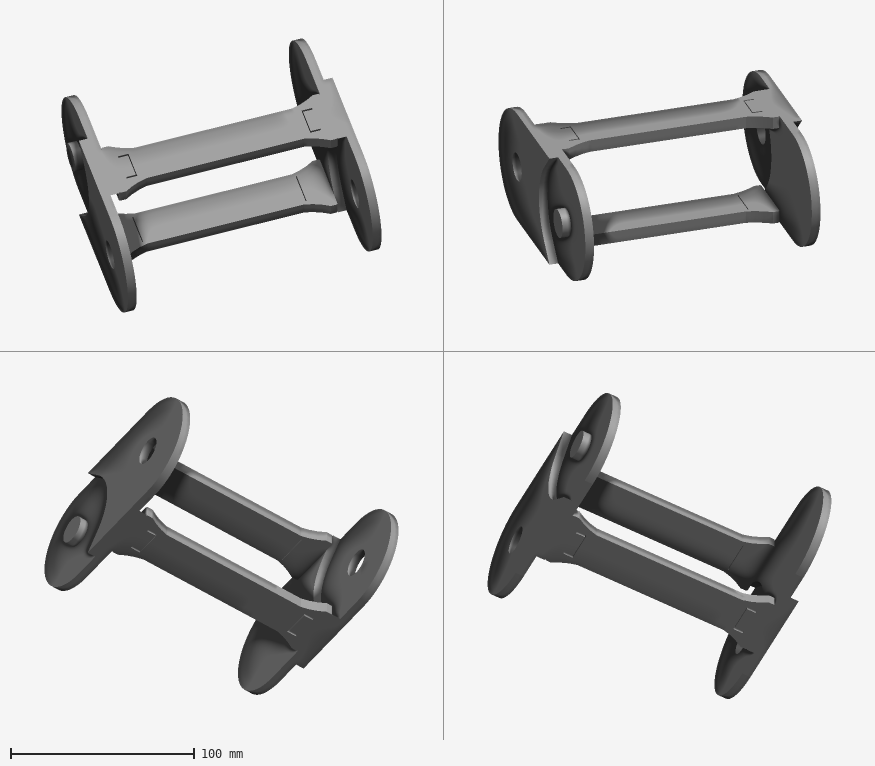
import cadquery as cq
import math


overall_width = 145.0
plate_height = 65.0
pitch = 70.88
layer_thickness = 5.0
pin_diameter = 16.0
hole_diameter = 16.0
swing_clearance = 0.5
flank_rise = 10.0

end_radius = plate_height / 2
notch_radius = end_radius + swing_clearance
outer_face_y = overall_width / 2
joint_y = outer_face_y - layer_thickness
inner_face_y = joint_y - layer_thickness

bar_center_x = 39.56
bar_thickness = 7.0
bar_width = 22.0
bar_end_width = 32.8
bar_corner_radius = 1.0
bar_end_straight = 4.0
bar_flare_end = 17.5
flare_radius = 40.0

tab_width = 18.0
tab_length = 15.5
tab_thickness = bar_thickness / 2
tab_end_gap = 0.5
window_width = 16.0
window_start = 7.0
window_length = 6.0
lug_side_gap = 1.0
lug_end_gap = 0.5

bar_outer_z = plate_height / 2
bar_inner_z = bar_outer_z - bar_thickness
tab_outer_z = bar_inner_z + tab_thickness


def notched_layer(y_start):
    """Plate layer with its round end around X = 0 and a concave end toward +X."""
    flank_z = end_radius - flank_rise
    flank_angle = math.asin(flank_z / notch_radius)
    flank_x = pitch - notch_radius * math.cos(flank_angle)
    tip_x = flank_x + flank_rise * math.tan(flank_angle)
    return (
        cq.Workplane("XZ", origin=(0, y_start, 0))
        .moveTo(0, end_radius)
        .lineTo(tip_x, end_radius)
        .lineTo(flank_x, flank_z)
        .threePointArc((pitch - notch_radius, 0), (flank_x, -flank_z))
        .lineTo(tip_x, -end_radius)
        .lineTo(0, -end_radius)
        .threePointArc((-end_radius, 0), (0, end_radius))
        .close()
        .extrude(-layer_thickness)
    )


def y_cylinder(x, diameter):
    """Cylinder along Y through the outer layer of the plate."""
    return (
        cq.Workplane("XZ", origin=(x, joint_y, 0))
        .circle(diameter / 2)
        .extrude(-layer_thickness)
    )


def bar_block(width, plate_gap, length, z_bottom, z_top):
    """Block centred on the crossbar, running inward from plate_gap off the plate."""
    return (
        cq.Workplane("XY", origin=(bar_center_x, inner_face_y - plate_gap - length / 2, z_bottom))
        .rect(width, length)
        .extrude(z_top - z_bottom)
    )


def snap_tab():
    """Tab for the upper crossbar with the lug that sits in its window."""
    tab = bar_block(tab_width, 0, tab_length, bar_inner_z, tab_outer_z)
    lug = bar_block(
        window_width - 2 * lug_side_gap,
        window_start,
        window_length - lug_end_gap,
        tab_outer_z,
        bar_outer_z,
    )
    return tab.union(lug)


def make_side_plate():
    """Side plate at +Y."""
    inner_layer = notched_layer(inner_face_y)
    outer_layer = (
        notched_layer(joint_y)
        .mirror("YZ")
        .translate((pitch, 0, 0))
        .cut(y_cylinder(pitch, hole_diameter))
    )
    upper_tab = snap_tab()
    return (
        inner_layer.union(outer_layer)
        .union(y_cylinder(0, pin_diameter))
        .union(upper_tab)
        .union(upper_tab.mirror("XY"))
    )


def bar_profile():
    """Crossbar outline in XY: a straight strip flaring out at both ends."""
    end_y = inner_face_y
    flare_y = end_y - bar_end_straight
    strip_y = end_y - bar_flare_end
    half_width = bar_width / 2
    half_end = bar_end_width / 2

    chord_x = half_end - half_width
    chord_y = flare_y - strip_y
    chord = math.hypot(chord_x, chord_y)
    sagitta = flare_radius - math.sqrt(flare_radius**2 - (chord / 2) ** 2)
    mid_x = (half_end + half_width) / 2 - sagitta * chord_y / chord
    mid_y = (flare_y + strip_y) / 2 + sagitta * chord_x / chord

    return (
        cq.Workplane("XY", origin=(bar_center_x, 0, bar_inner_z))
        .moveTo(half_width, -strip_y)
        .lineTo(half_width, strip_y)
        .threePointArc((mid_x, mid_y), (half_end, flare_y))
        .lineTo(half_end, end_y)
        .lineTo(-half_end, end_y)
        .lineTo(-half_end, flare_y)
        .threePointArc((-mid_x, mid_y), (-half_width, strip_y))
        .lineTo(-half_width, -strip_y)
        .threePointArc((-mid_x, -mid_y), (-half_end, -flare_y))
        .lineTo(-half_end, -end_y)
        .lineTo(half_end, -end_y)
        .lineTo(half_end, -flare_y)
        .threePointArc((mid_x, -mid_y), (half_width, -strip_y))
        .close()
    )


def make_crossbar():
    """Upper crossbar with a tab recess and a lug window at each end."""
    bar = bar_profile().extrude(bar_thickness)
    bar = bar.edges("|Z").edges(">Y or <Y").fillet(bar_corner_radius)
    recess = bar_block(tab_width, 0, tab_length + tab_end_gap, bar_inner_z, tab_outer_z)
    window = bar_block(window_width, window_start, window_length, tab_outer_z, bar_outer_z)
    seat = recess.union(window)
    return bar.cut(seat).cut(seat.mirror("XZ"))


side_plate = make_side_plate()
crossbar = make_crossbar()
side_plates = [side_plate, side_plate.mirror("XZ")]
crossbars = [crossbar, crossbar.mirror("XY")]

result = cq.Compound.makeCompound([body.val() for body in side_plates + crossbars])